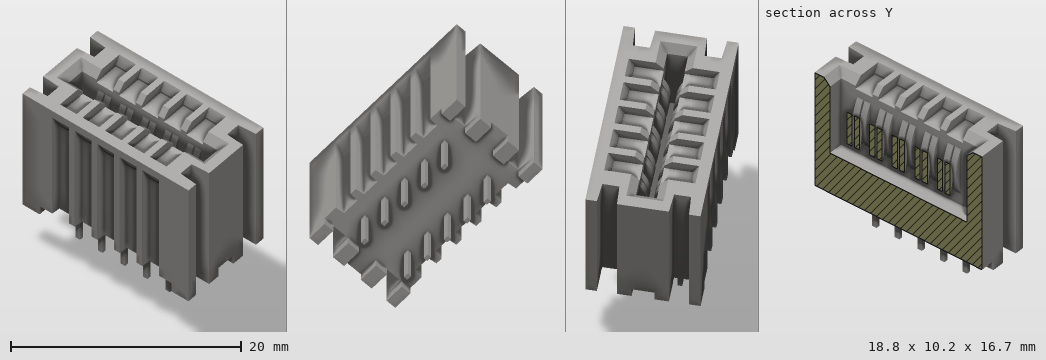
import cadquery as cq
import math


length = 18.76
width = 10.16
overall_height = 16.65
pin_reach = 3.2
top_z = overall_height - pin_reach
standoff = 1.0

pitch = 2.54
positions = 5
row_y = 2.54
column_xs = [(i - (positions - 1) / 2) * pitch for i in range(positions)]
sides = (-1, 1)

notch_floor_x = 7.5
notch_mouth_inner_y = 2.29
notch_mouth_outer_y = 4.06
notch_floor_inner_y = 2.41
notch_floor_outer_y = 3.91

foot_inner_x = 7.45
foot_gap_half = 1.0

slot_half_length = 7.64
slot_half_width = 0.92
lead_in = 0.72
slot_depth = 8.0

cavity_width = 1.88
cavity_outer_y = 4.02
cavity_floor_outer_y = 3.52
cavity_slope_depth = 0.86
cavity_depth = 1.05

groove_width = cavity_width
groove_floor_width = 1.7
groove_depth = 0.88
groove_top_drop = 0.82
groove_floor_top_drop = 2.41

bulge_width = 0.64
bulge_gap = 0.18
bulge_y = 0.24
bulge_top_drop = 1.85
bulge_lean = math.radians(31)

pin_width = 0.5
pin_thickness = 0.4


def box(x_range, y_range, z_range):
    """Axis-aligned box from its limits."""
    size = [high - low for low, high in (x_range, y_range, z_range)]
    corner = (x_range[0], y_range[0], z_range[0])
    return cq.Workplane("XY").box(*size, centered=False).translate(corner)


def prism_along_x(yz_points, x_center, x_width):
    """Extrude a YZ outline symmetrically about x_center."""
    start = x_center - x_width / 2
    return cq.Workplane("YZ", origin=(start, 0, 0)).polyline(yz_points).close().extrude(x_width)


def make_body():
    """Block above the standoff, with tapered notches in both ends."""
    body = box((-length / 2, length / 2), (-width / 2, width / 2), (standoff, top_z))
    for end in sides:
        for side in sides:
            outline = [
                (end * length / 2, side * notch_mouth_inner_y),
                (end * notch_floor_x, side * notch_floor_inner_y),
                (end * notch_floor_x, side * notch_floor_outer_y),
                (end * length / 2, side * notch_mouth_outer_y),
            ]
            notch = cq.Workplane("XY").polyline(outline).close().extrude(top_z)
            body = body.cut(notch)
    return body


def add_feet(body):
    """Four feet at each end, between the notches and the central gap."""
    foot_spans = [(foot_gap_half, notch_mouth_inner_y), (notch_mouth_outer_y, width / 2)]
    for end in sides:
        x_range = sorted((end * foot_inner_x, end * length / 2))
        for side in sides:
            for inner_y, outer_y in foot_spans:
                y_range = sorted((side * inner_y, side * outer_y))
                body = body.union(box(x_range, y_range, (0, standoff)))
    return body


def cut_slot(body):
    """Card slot and its tapered lead-in."""
    slot = box(
        (-slot_half_length, slot_half_length),
        (-slot_half_width, slot_half_width),
        (top_z - slot_depth, top_z),
    )
    funnel = (
        cq.Workplane("XY", origin=(0, 0, top_z - lead_in))
        .rect(2 * slot_half_length, 2 * slot_half_width)
        .workplane(offset=lead_in)
        .rect(2 * (slot_half_length + lead_in), 2 * (slot_half_width + lead_in))
        .loft()
    )
    return body.cut(slot).cut(funnel)


def make_cavity(x, side):
    """Shallow pocket beside the slot, its outer wall sloped then upright."""
    outline = [
        (0, top_z),
        (side * cavity_outer_y, top_z),
        (side * cavity_floor_outer_y, top_z - cavity_slope_depth),
        (side * cavity_floor_outer_y, top_z - cavity_depth),
        (0, top_z - cavity_depth),
    ]
    return prism_along_x(outline, x, cavity_width)


def make_groove(x, side):
    """Face groove, open at the bottom, with drafted sides and a sloped top."""
    face_y = side * width / 2
    floor_y = side * (width / 2 - groove_depth)
    plan = [
        (x - groove_width / 2, face_y),
        (x + groove_width / 2, face_y),
        (x + groove_floor_width / 2, floor_y),
        (x - groove_floor_width / 2, floor_y),
    ]
    channel = cq.Workplane("XY").polyline(plan).close().extrude(top_z)
    profile = [
        (face_y, 0),
        (face_y, top_z - groove_top_drop),
        (floor_y, top_z - groove_floor_top_drop),
        (floor_y, 0),
    ]
    return channel.intersect(prism_along_x(profile, x, groove_width))


def make_bulge(x, side):
    """Springy contact bulging out of the slot wall as a single arc."""
    arc_radius = (slot_half_width - bulge_y) / (1 - math.cos(bulge_lean))
    half_height = arc_radius * math.sin(bulge_lean)
    start_z = top_z - bulge_top_drop
    wall_y = side * slot_half_width
    return (
        cq.Workplane("YZ", origin=(x - bulge_width / 2, 0, 0))
        .moveTo(wall_y, start_z)
        .threePointArc((side * bulge_y, start_z - half_height), (wall_y, start_z - 2 * half_height))
        .close()
        .extrude(bulge_width)
    )


def make_pin(x, side):
    """Solder pin below the housing."""
    pin = cq.Workplane("XY", origin=(x, side * row_y, -pin_reach))
    return pin.rect(pin_width, pin_thickness).extrude(pin_reach + standoff)


result = cut_slot(add_feet(make_body()))
for column_x in column_xs:
    for row_side in sides:
        result = result.cut(make_cavity(column_x, row_side))
        result = result.cut(make_groove(column_x, row_side))
        result = result.union(make_pin(column_x, row_side))
        for bulge_side in sides:
            bulge_x = column_x + bulge_side * (bulge_width + bulge_gap) / 2
            result = result.union(make_bulge(bulge_x, row_side))